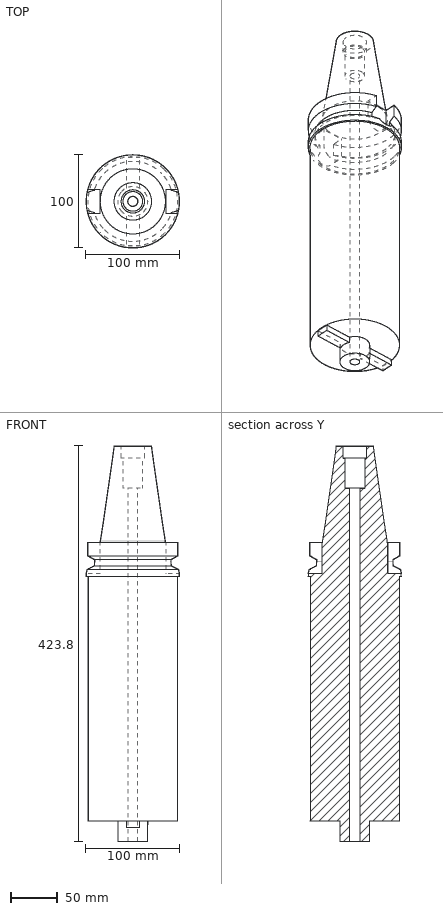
import cadquery as cq
import math


gauge_diameter = 69.85
taper_length = 101.8
taper_ratio = 7 / 24
taper_tip_diameter = gauge_diameter - taper_ratio * taper_length

flange_diameter = 100.0
flange_top = -1.5
flange_bottom = -38.0
groove_diameter = 86.0
groove_floor_width = 6.5
groove_centre = -23.2
groove_wall_slope = math.tan(math.radians(30))
groove_depth = (flange_diameter - groove_diameter) / 2
groove_wall_height = groove_depth * groove_wall_slope

slot_width = 25.7
slot_bottom = -34.5
slot_floor_offset = 35.3

body_diameter = 96.0
body_face = -300.0
pilot_diameter = 32.0
pilot_length = 22.0
pilot_end = body_face - pilot_length
key_width = 14.0
key_height = 7.0
key_span = 94.0

stud_bore_diameter = 21.0
stud_bore_depth = 45.0
stud_relief_diameter = 25.0
stud_relief_depth = 13.0
passage_diameter = 10.5


def turned(outline):
    """Revolve (radius, height) points, closed along the axis, about Z."""
    heights = [height for radius, height in outline]
    points = [(0, heights[0])] + outline + [(0, heights[-1])]
    return cq.Workplane("YZ").polyline(points).close().revolve(360, (0, 0), (0, 1))


def make_holder():
    gauge_radius = gauge_diameter / 2
    flange_radius = flange_diameter / 2
    groove_radius = groove_diameter / 2
    floor_top = groove_centre + groove_floor_width / 2
    floor_bottom = groove_centre - groove_floor_width / 2
    return turned([
        (taper_tip_diameter / 2, taper_length),
        (gauge_radius, 0),
        (gauge_radius, flange_top),
        (flange_radius, flange_top),
        (flange_radius, floor_top + groove_wall_height),
        (groove_radius, floor_top),
        (groove_radius, floor_bottom),
        (flange_radius, floor_bottom - groove_wall_height),
        (flange_radius, flange_bottom),
        (body_diameter / 2, flange_bottom),
        (body_diameter / 2, body_face),
        (pilot_diameter / 2, body_face),
        (pilot_diameter / 2, pilot_end),
    ])


def make_drive_slot(side):
    """Round-bottomed slot cutter, outside the flat slot floor at +X or -X, open at the top."""
    half_width = slot_width / 2
    arc_centre = slot_bottom + half_width
    profile = (
        cq.Workplane("YZ", origin=(side * slot_floor_offset, 0, 0))
        .moveTo(-half_width, 0)
        .lineTo(-half_width, arc_centre)
        .threePointArc((0, slot_bottom), (half_width, arc_centre))
        .lineTo(half_width, 0)
        .close()
    )
    return profile.extrude(side * (flange_diameter / 2 - slot_floor_offset))


def make_drive_keys():
    """Bar across the body face; the pilot separates it into two keys."""
    return cq.Workplane("XY", origin=(0, 0, body_face)).rect(key_width, key_span).extrude(-key_height)


def make_bore():
    relief_radius = stud_relief_diameter / 2
    relief_floor = taper_length - stud_relief_depth
    stud_radius = stud_bore_diameter / 2
    bore_floor = taper_length - stud_bore_depth
    return turned([
        (relief_radius, taper_length),
        (relief_radius, relief_floor),
        (stud_radius, relief_floor),
        (stud_radius, bore_floor),
        (passage_diameter / 2, bore_floor),
        (passage_diameter / 2, pilot_end),
    ])


result = make_holder().union(make_drive_keys())
for side in (-1, 1):
    result = result.cut(make_drive_slot(side))
result = result.cut(make_bore())